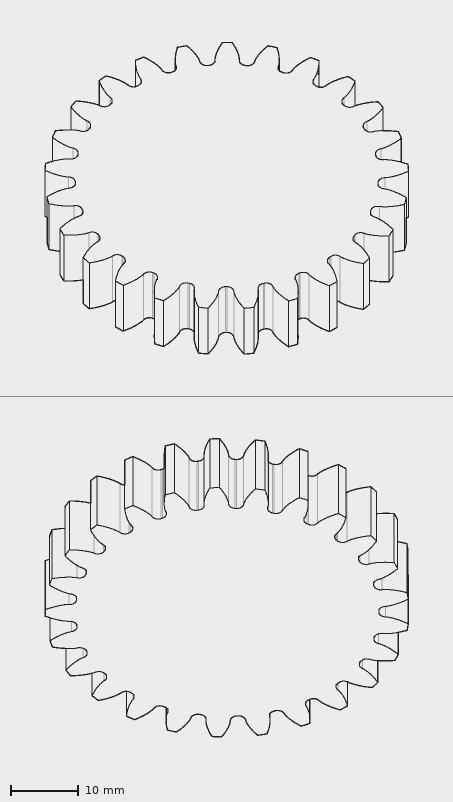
import cadquery as cq
import math

module = 2.0
tooth_count = 25
pressure_angle = math.radians(20)
face_width = 10.0
addendum = module
dedendum = 1.25 * module
flank_intervals = 8

pitch_radius = module * tooth_count / 2
base_radius = pitch_radius * math.cos(pressure_angle)
tip_radius = pitch_radius + addendum
root_radius = pitch_radius - dedendum
tooth_pitch = 2 * math.pi / tooth_count

fillet_radius = (base_radius**2 - root_radius**2) / (2 * root_radius)
fillet_centre_radius = root_radius + fillet_radius


def polar(radius, angle):
    return (radius * math.cos(angle), radius * math.sin(angle))


def involute(angle):
    """Polar angle swept by the involute up to the given pressure angle."""
    return math.tan(angle) - angle


half_tooth_at_base = tooth_pitch / 4 + involute(pressure_angle)

fillet_centre_angle = half_tooth_at_base + math.asin(fillet_radius / fillet_centre_radius)
fillet_turn = math.acos(fillet_radius / fillet_centre_radius)


def flank_points(centre_angle, side):
    """Involute points from base circle to tip; side is -1 or +1 about the tooth centreline."""
    roll_at_tip = math.sqrt((tip_radius / base_radius) ** 2 - 1)
    points = []
    for i in range(flank_intervals + 1):
        roll = roll_at_tip * i / flank_intervals
        radius = base_radius * math.sqrt(1 + roll**2)
        half_angle = half_tooth_at_base - involute(math.atan(roll))
        points.append(polar(radius, centre_angle + side * half_angle))
    return points


def fillet_midpoint(centre_angle, side):
    """Point halfway along the root fillet on one side of a tooth."""
    axis_angle = centre_angle + side * fillet_centre_angle
    centre_x, centre_y = polar(fillet_centre_radius, axis_angle)
    offset_x, offset_y = polar(fillet_radius, axis_angle + math.pi + side * fillet_turn / 2)
    return (centre_x + offset_x, centre_y + offset_y)


def add_tooth(outline, centre_angle):
    """Continue the outline over one tooth and along the root land to the next."""
    rising_flank = flank_points(centre_angle, -1)
    falling_flank = flank_points(centre_angle, 1)[::-1]
    fillet_end = polar(root_radius, centre_angle + fillet_centre_angle)
    land_middle = polar(root_radius, centre_angle + tooth_pitch / 2)
    land_end = polar(root_radius, centre_angle + tooth_pitch - fillet_centre_angle)
    return (
        outline.threePointArc(fillet_midpoint(centre_angle, -1), rising_flank[0])
        .spline(rising_flank[1:], includeCurrent=True)
        .threePointArc(polar(tip_radius, centre_angle), falling_flank[0])
        .spline(falling_flank[1:], includeCurrent=True)
        .threePointArc(fillet_midpoint(centre_angle, 1), fillet_end)
        .threePointArc(land_middle, land_end)
    )


def make_gear():
    outline = cq.Workplane("XY").moveTo(*polar(root_radius, -fillet_centre_angle))
    for tooth in range(tooth_count):
        outline = add_tooth(outline, tooth * tooth_pitch)
    return outline.close().extrude(face_width)


result = make_gear()